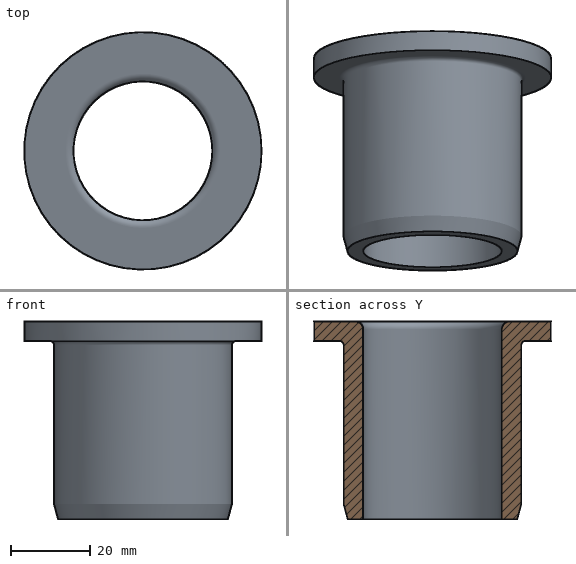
import cadquery as cq
import math

flange_diameter = 60.0
flange_thickness = 5.0
body_diameter = 45.0
bore_diameter = 35.0
total_height = 50.0
bore_mouth_radius = 2.0
neck_fillet_radius = 1.0
lead_in_height = 3.85
lead_in_angle = 15.0

flange_radius = flange_diameter / 2
body_radius = body_diameter / 2
bore_radius = bore_diameter / 2
flange_underside = total_height - flange_thickness
lead_in_radius = body_radius - lead_in_height * math.tan(math.radians(lead_in_angle))


def quarter_arc_middle(center_x, center_z, radius, x_side, z_side):
    """Midpoint of a quarter arc lying on the given sides of its center."""
    offset = radius * math.sqrt(0.5)
    return (center_x + x_side * offset, center_z + z_side * offset)


neck_arc_middle = quarter_arc_middle(
    body_radius + neck_fillet_radius, flange_underside - neck_fillet_radius, neck_fillet_radius, -1, 1
)
mouth_arc_middle = quarter_arc_middle(
    bore_radius + bore_mouth_radius, total_height - bore_mouth_radius, bore_mouth_radius, -1, 1
)

half_section = (
    cq.Workplane("XZ")
    .moveTo(bore_radius, 0)
    .lineTo(lead_in_radius, 0)
    .lineTo(body_radius, lead_in_height)
    .lineTo(body_radius, flange_underside - neck_fillet_radius)
    .threePointArc(neck_arc_middle, (body_radius + neck_fillet_radius, flange_underside))
    .lineTo(flange_radius, flange_underside)
    .lineTo(flange_radius, total_height)
    .lineTo(bore_radius + bore_mouth_radius, total_height)
    .threePointArc(mouth_arc_middle, (bore_radius, total_height - bore_mouth_radius))
    .close()
)

result = half_section.revolve(360, (0, 0), (0, 1))